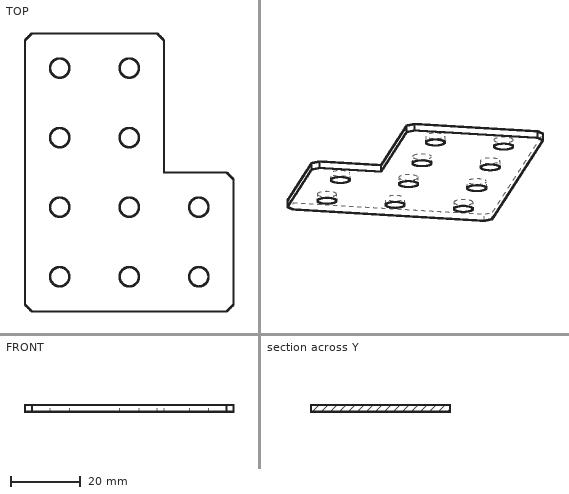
import cadquery as cq

pitch = 20.0
thickness = 2.0
corner_chamfer = 2.0
hole_diameter = 5.5

foot_columns = 3
foot_rows = 2
arm_columns = 2
total_rows = 4

width = foot_columns * pitch
height = total_rows * pitch
arm_width = arm_columns * pitch
foot_height = foot_rows * pitch


def make_block(block_width, block_height):
    """Rectangular plate with its lower left corner at the origin."""
    return cq.Workplane("XY").box(block_width, block_height, thickness, centered=False)


def make_plate():
    """L-shaped plate with every outer corner chamfered and the inner corner sharp."""
    foot = make_block(width, foot_height).edges("|Z").chamfer(corner_chamfer)
    arm = make_block(arm_width, height).edges("|Z").chamfer(corner_chamfer)
    return foot.union(arm).clean()


def hole_centres():
    """Centre of each grid cell covered by the plate."""
    centres = []
    for row in range(total_rows):
        columns = foot_columns if row < foot_rows else arm_columns
        for column in range(columns):
            centres.append((pitch / 2 + column * pitch, pitch / 2 + row * pitch))
    return centres


def make_holes():
    """Round pins that cut the through holes."""
    return cq.Workplane("XY").pushPoints(hole_centres()).circle(hole_diameter / 2).extrude(thickness)


result = make_plate().cut(make_holes())